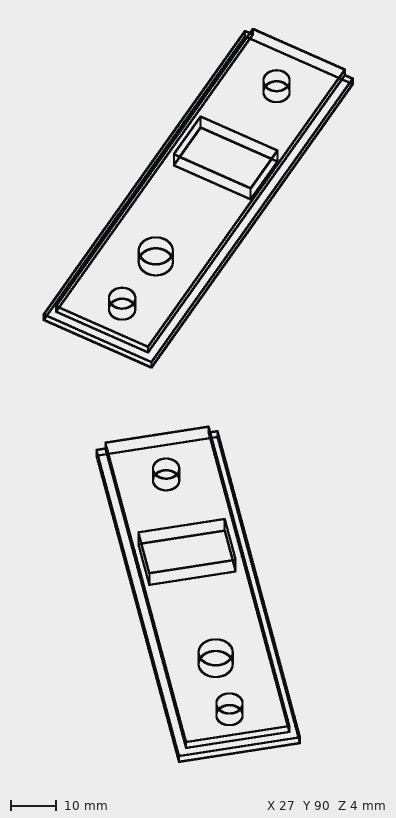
import cadquery as cq

plate_width = 27.0
plate_length = 90.0
total_height = 4.0
base_thickness = 2.0

ledge = 2.0
pad_width = plate_width - 2 * ledge
pad_length = plate_length - ledge

screw_diameter = 5.8
screw_positions = (11.0, 80.0)
round_opening_diameter = 7.5
round_opening_position = 26.0
window_width = 19.3
window_length = 12.0
window_position = 57.2


def block(width, front, length, height):
    """Box centred on X, standing on Z = 0 and starting at Y = front."""
    return (
        cq.Workplane("XY")
        .box(width, length, height, centered=(True, False, False))
        .translate((0, front, 0))
    )


def round_cutter(diameter, position):
    """Full-height cylinder on the centreline."""
    return cq.Workplane("XY").center(0, position).circle(diameter / 2).extrude(total_height)


result = block(plate_width, 0, plate_length, base_thickness)
result = result.union(block(pad_width, ledge, pad_length, total_height))

window_front = window_position - window_length / 2
result = result.cut(block(window_width, window_front, window_length, total_height))

for screw_position in screw_positions:
    result = result.cut(round_cutter(screw_diameter, screw_position))
result = result.cut(round_cutter(round_opening_diameter, round_opening_position))